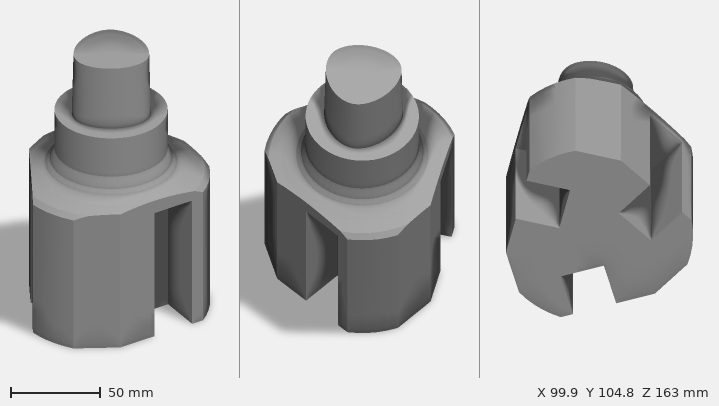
import cadquery as cq
import math

body_radius = 55.1
main_flat_distance = 44.8
minor_flat_distance = 50.0
minor_flat_offset_angle = 90
sector_angle = 120
sector_count = 3

rim_height = 83.1
bevel_radius = 52.2
bevel_height = 85.7
shoulder_radius = main_flat_distance
shoulder_height = 88.0
neck_base_radius = 36.7
neck_base_height = 91.0
neck_radius = 34.0
neck_height = 93.4
collar_radius = 63.0 / 2
collar_base_height = 100.0
collar_top_height = 124.7

slot_size = 25.0
slot_height = 80.0

overall_height = 163.0
shank_length = overall_height - collar_top_height
shank_base_radius = 22.0
shank_taper = 1 / 20
shank_top_radius = shank_base_radius - shank_length * shank_taper / 2
lobe_amplitude = 1.1
lobe_start_angle = -math.pi / 2
outline_point_count = 48


def turned_blank():
    profile = [
        (0, 0),
        (body_radius, 0),
        (body_radius, rim_height),
        (bevel_radius, bevel_height),
        (shoulder_radius, shoulder_height),
        (neck_base_radius, neck_base_height),
        (neck_radius, neck_height),
        (collar_radius, collar_base_height),
        (collar_radius, collar_top_height),
        (0, collar_top_height),
    ]
    return cq.Workplane("XZ").polyline(profile).close().revolve(360, (0, 0, 0), (0, 1, 0))


def flat_cutter(distance, angle):
    """Block whose inner face lies at the given distance from the axis."""
    block = cq.Workplane("XY").box(
        body_radius, 2 * body_radius, collar_top_height, centered=(False, True, False)
    )
    return block.translate((distance, 0, 0)).rotate((0, 0, 0), (0, 0, 1), angle)


def slot_cutter(angle):
    block = cq.Workplane("XY").box(slot_size, slot_size, slot_height, centered=False)
    floor_distance = main_flat_distance - slot_size
    return block.translate((floor_distance, 0, 0)).rotate((0, 0, 0), (0, 0, 1), angle)


def lobed_point(mean_radius, turn):
    """Point on a rounded triangle of constant width, for a turn from 0 to 1."""
    angle = lobe_start_angle + 2 * math.pi * turn
    phase = sector_count * 2 * math.pi * turn
    reach = mean_radius + lobe_amplitude * math.cos(phase)
    slide = -sector_count * lobe_amplitude * math.sin(phase)
    x = reach * math.cos(angle) - slide * math.sin(angle)
    y = reach * math.sin(angle) + slide * math.cos(angle)
    return (x, y)


def tapered_shank():
    turns = [step / outline_point_count for step in range(outline_point_count)]
    base_outline = [lobed_point(shank_base_radius, turn) for turn in turns]
    top_outline = [lobed_point(shank_top_radius, turn) for turn in turns]
    return (
        cq.Workplane("XY", origin=(0, 0, collar_top_height))
        .spline(base_outline, periodic=True)
        .wire()
        .workplane(offset=shank_length)
        .spline(top_outline, periodic=True)
        .wire()
        .loft(combine=True)
    )


result = turned_blank()
for sector in range(sector_count):
    flat_angle = sector * sector_angle
    result = result.cut(flat_cutter(main_flat_distance, flat_angle))
    result = result.cut(flat_cutter(minor_flat_distance, flat_angle + minor_flat_offset_angle))
    result = result.cut(slot_cutter(flat_angle))
result = result.union(tapered_shank())